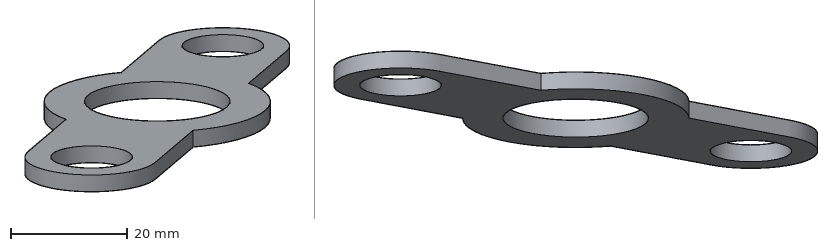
import cadquery as cq

length = 97.4
strap_width = 23.0
ring_diameter = 39.0
bore_diameter = 25.0
bolt_hole_diameter = 14.0
thickness = 3.0

bolt_hole_offset = (length - strap_width) / 2


def make_plate():
    """Round-ended strap along Y merged with the central disc."""
    strap = cq.Workplane("XY").slot2D(length, strap_width, 90).extrude(thickness)
    disc = cq.Workplane("XY").circle(ring_diameter / 2).extrude(thickness)
    return strap.union(disc)


def make_holes():
    """Through cutters for the central bore and the bolt hole at each end."""
    bore = cq.Workplane("XY").circle(bore_diameter / 2).extrude(thickness)
    bolt_holes = (
        cq.Workplane("XY")
        .pushPoints([(0, -bolt_hole_offset), (0, bolt_hole_offset)])
        .circle(bolt_hole_diameter / 2)
        .extrude(thickness)
    )
    return bore.union(bolt_holes)


result = make_plate().cut(make_holes())